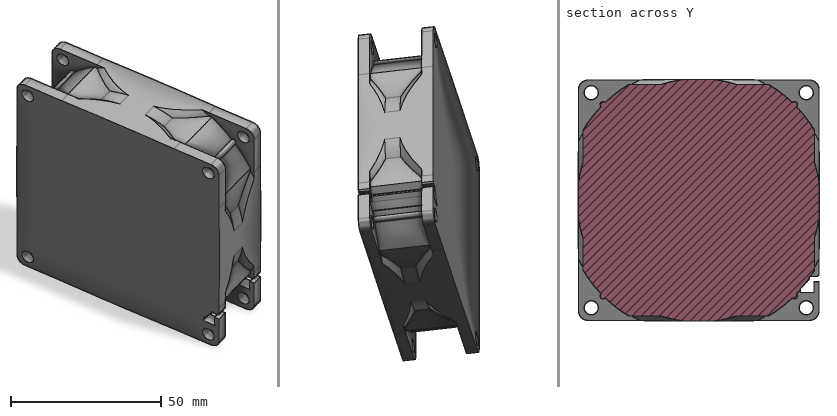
import cadquery as cq
import math

depth = 25.4
flange_thickness = 3.9
flange_size = 80.0
corner_radius = 3.2

bow_half_length = 22.2
width_across_bows = 80.26
height_across_bows = 80.39

hole_spacing = 71.5
hole_diameter = 4.6

core_radius = 45.0
core_size = 77.1

throat_radius = 40.5
throat_length = 5.15
throat_center_y = -1.14
front_flare_radius = 43.9
rear_flare_radius = 44.5

rib_radius = 1.0

slot_top_z = -25.4
slot_lip_z = -27.05
slot_bottom_z = -30.6
slot_ramp_top_z = -26.2
slot_ramp_bottom_z = -29.5
slot_left_x = 33.75
slot_ramp_top_x = 36.8
slot_lip_x = 38.25
slot_edge_radius = 0.5

half_flange = flange_size / 2
front_y = -depth / 2
rear_y = depth / 2
core_front_y = front_y + flange_thickness
core_rear_y = rear_y - flange_thickness
core_length = core_rear_y - core_front_y
throat_front_y = throat_center_y - throat_length / 2
throat_rear_y = throat_center_y + throat_length / 2


def sketch_at(y):
    """XZ sketch plane at the given Y; negative extrusions run toward +Y."""
    return cq.Workplane("XZ", origin=(0, y, 0))


def bowed_block(y, length):
    """Square block, running from y toward +Y, with a bowed middle on each side."""
    half_width = width_across_bows / 2
    half_height = height_across_bows / 2
    return (
        sketch_at(y)
        .moveTo(-half_flange, -half_flange)
        .lineTo(-bow_half_length, -half_flange)
        .threePointArc((0, -half_height), (bow_half_length, -half_flange))
        .lineTo(half_flange, -half_flange)
        .lineTo(half_flange, -bow_half_length)
        .threePointArc((half_width, 0), (half_flange, bow_half_length))
        .lineTo(half_flange, half_flange)
        .lineTo(bow_half_length, half_flange)
        .threePointArc((0, half_height), (-bow_half_length, half_flange))
        .lineTo(-half_flange, half_flange)
        .lineTo(-half_flange, bow_half_length)
        .threePointArc((-half_width, 0), (-half_flange, -bow_half_length))
        .close()
        .extrude(-length)
    )


def corner_cylinders(y, spacing, radius, length):
    """Four cylinders, running from y toward +Y, at the corners of a square."""
    return (
        sketch_at(y)
        .rect(spacing, spacing, forConstruction=True)
        .vertices()
        .circle(radius)
        .extrude(-length)
    )


def is_outer_corner(edge):
    """True for an edge beyond the bows in both X and Z."""
    center = edge.Center()
    return min(abs(center.x), abs(center.z)) > bow_half_length


def flange(y):
    """Bowed plate with rounded corners and a mounting hole in each."""
    plate = bowed_block(y, flange_thickness)
    plate = plate.edges("|Y").filter(is_outer_corner).fillet(corner_radius)
    holes = corner_cylinders(y, hole_spacing, hole_diameter / 2, flange_thickness)
    return plate.cut(holes)


def core():
    """Cylinder cut flat on four sides."""
    cylinder = sketch_at(core_front_y).circle(core_radius).extrude(-core_length)
    flats = sketch_at(core_front_y).rect(core_size, core_size).extrude(-core_length)
    return cylinder.intersect(flats)


def duct():
    """Flared duct body; where it rises above the core flats it is trimmed to the bowed sides."""
    flared = (
        cq.Workplane("XY")
        .moveTo(0, core_front_y)
        .lineTo(front_flare_radius, core_front_y)
        .lineTo(throat_radius, throat_front_y)
        .lineTo(throat_radius, throat_rear_y)
        .lineTo(rear_flare_radius, core_rear_y)
        .lineTo(0, core_rear_y)
        .close()
        .revolve(360, (0, 0, 0), (0, 1, 0))
    )
    return flared.intersect(bowed_block(core_front_y, core_length))


def corner_ribs():
    """Round rib along each diagonal corner of the core."""
    rib_spacing = core_radius * math.sqrt(2)
    return corner_cylinders(core_front_y, rib_spacing, rib_radius, core_length)


def lead_slot():
    """Hooked slot that opens onto the +X side, with a softened upper mouth edge."""
    mouth_x = half_flange
    return (
        sketch_at(front_y)
        .moveTo(mouth_x, slot_top_z + slot_edge_radius)
        .radiusArc((mouth_x - slot_edge_radius, slot_top_z), -slot_edge_radius)
        .lineTo(slot_ramp_top_x, slot_top_z)
        .lineTo(slot_ramp_top_x, slot_ramp_top_z)
        .lineTo(slot_left_x, slot_ramp_bottom_z)
        .lineTo(slot_left_x, slot_bottom_z)
        .lineTo(slot_lip_x, slot_bottom_z)
        .lineTo(slot_lip_x, slot_lip_z)
        .lineTo(mouth_x, slot_lip_z)
        .close()
        .extrude(-depth)
    )


result = (
    core()
    .union(duct())
    .union(corner_ribs())
    .union(flange(front_y))
    .union(flange(core_rear_y))
    .cut(lead_slot())
)